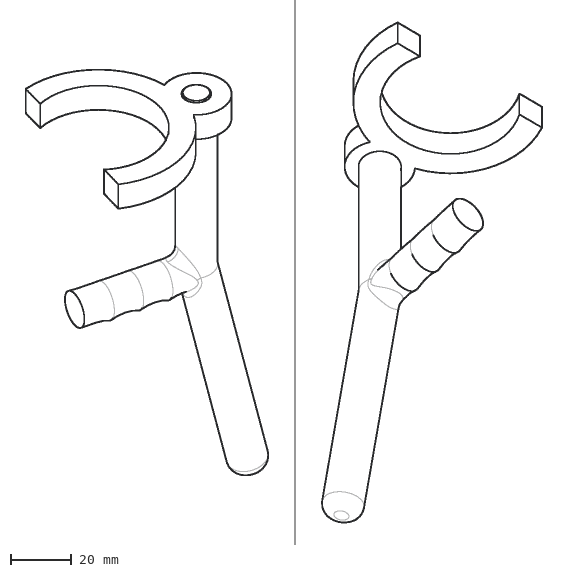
import cadquery as cq
import math

shaft_radius = 14.0 / 2
bend_z = -59.8
leg_length = 92.1
leg_angle = math.radians(12.7)
foot_fillet = 4.5

handle_radius = 6.5
handle_z = -61.0
handle_end_y = -46.1
root_fillet = 4.0

ridge_count = 3
ridge_pitch = 11.1
first_ridge_y = -12.7
ridge_height = 1.3
full_scallop = (1, 0.25, 0, 0.25, 1)
end_scallop = (1, 0.25, 0, 0, 0)

fork_thickness = 10.0
lug_radius = 11.5
ring_outer_radius = 32.0
ring_inner_radius = 23.2
ring_center_y = -37.1
fork_end_y = -47.1

pin_diameter = 9.8
pin_projection = 0.5
pin_chamfer = 0.45


def grip_segment(start_y, length, ridge_shares):
    """Loft along -Y through evenly spaced sections, each deepened by a share of the ridge height.

    Every section keeps the top and the width of the handle, so the ridges emerge only underneath.
    """
    spacing = length / (len(ridge_shares) - 1)
    sections = []
    for index, share in enumerate(ridge_shares):
        drop = share * ridge_height / 2
        center = (0, start_y - index * spacing, handle_z - drop)
        plane = cq.Plane(center, xDir=(0, 0, 1), normal=(0, -1, 0))
        section = cq.Workplane(plane).ellipse(handle_radius + drop, handle_radius)
        sections.append(section.val())
    return cq.Workplane(cq.Solid.makeLoft(sections))


def make_frame():
    """Bent shaft with a rounded foot and a blended side handle."""
    leg_end = (leg_length * math.sin(leg_angle), bend_z - leg_length * math.cos(leg_angle))
    path = cq.Workplane("YZ").polyline([(0, 0), (0, bend_z), leg_end])
    shaft = cq.Workplane("XY").circle(shaft_radius).sweep(path, transition="right")
    shaft = shaft.edges("<Z").fillet(foot_fillet)

    root_y = first_ridge_y + ridge_pitch
    frame = shaft.union(grip_segment(root_y, ridge_pitch, full_scallop))
    root_zone = cq.selectors.BoxSelector(
        (-shaft_radius, first_ridge_y / 2, handle_z - 2 * handle_radius),
        (shaft_radius, root_y, handle_z + 2 * handle_radius),
    )
    frame = frame.edges(root_zone).edges("not %LINE").fillet(root_fillet)

    for index in range(ridge_count - 1):
        segment_y = first_ridge_y - index * ridge_pitch
        frame = frame.union(grip_segment(segment_y, ridge_pitch, full_scallop))
    last_ridge_y = first_ridge_y - (ridge_count - 1) * ridge_pitch
    return frame.union(grip_segment(last_ridge_y, last_ridge_y - handle_end_y, end_scallop))


def make_fork():
    """Open ring with a round lug bored for the pin."""
    ring = cq.Workplane("XY").center(0, ring_center_y).circle(ring_outer_radius).extrude(fork_thickness)
    lug = cq.Workplane("XY").circle(lug_radius).extrude(fork_thickness)
    ring_bore = cq.Workplane("XY").center(0, ring_center_y).circle(ring_inner_radius).extrude(fork_thickness)
    opening = (
        cq.Workplane("XY")
        .center(0, fork_end_y - ring_outer_radius)
        .rect(2 * ring_outer_radius, 2 * ring_outer_radius)
        .extrude(fork_thickness)
    )
    pin_hole = cq.Workplane("XY").circle(pin_diameter / 2).extrude(fork_thickness)
    return ring.union(lug).cut(ring_bore).cut(opening).cut(pin_hole)


def make_pin():
    """Pin standing on the shaft end, chamfered where it rises above the fork."""
    pin = cq.Workplane("XY").circle(pin_diameter / 2).extrude(fork_thickness + pin_projection)
    return pin.faces(">Z").chamfer(pin_chamfer)


frame = make_frame()
fork = make_fork()
pin = make_pin()

result = cq.Compound.makeCompound([frame.val(), fork.val(), pin.val()])